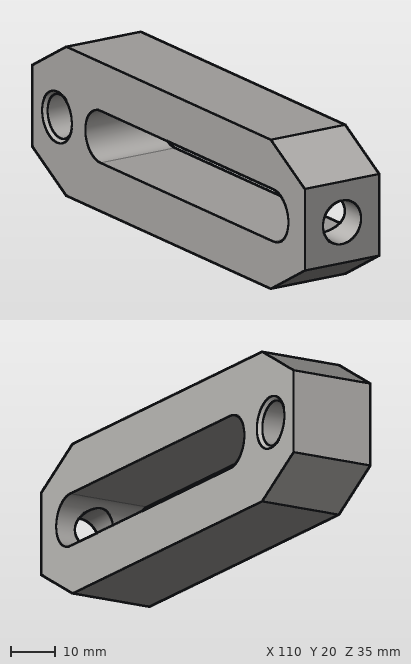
import cadquery as cq
import math

length = 110.0
thickness = 20.0
height = 35.0

corner_drop = 7.9
corner_angle = 30.0
corner_run = corner_drop / math.tan(math.radians(corner_angle))

hole_from_end = 10.0
hole_diameter = 10.2
countersink_diameter = 12.0
countersink_depth = (countersink_diameter - hole_diameter) / 2

slot_width = 12.2
slot_length = 82.0
slot_from_end = 6.6

end_hole_diameter = hole_diameter

hole_x = -length / 2 + hole_from_end
slot_x = length / 2 - slot_from_end - slot_length / 2


def make_body():
    """Flat bar with four sloped corners, centred on the origin."""
    half_length = length / 2
    half_height = height / 2
    flat_x = half_length - corner_run
    end_z = half_height - corner_drop
    outline = [
        (-flat_x, -half_height),
        (flat_x, -half_height),
        (half_length, -end_z),
        (half_length, end_z),
        (flat_x, half_height),
        (-flat_x, half_height),
        (-half_length, end_z),
        (-half_length, -end_z),
    ]
    return cq.Workplane("XZ").polyline(outline).close().extrude(thickness / 2, both=True)


def make_slot():
    """Round-ended slot running through the full thickness."""
    return (
        cq.Workplane("XZ")
        .center(slot_x, 0)
        .slot2D(slot_length, slot_width)
        .extrude(thickness / 2, both=True)
    )


def make_hole():
    """Through hole with a conical countersink at each face, as one revolved profile."""
    half_thickness = thickness / 2
    bore_end = half_thickness - countersink_depth
    bore_radius = hole_diameter / 2
    mouth_radius = countersink_diameter / 2
    profile = [
        (0, -half_thickness),
        (mouth_radius, -half_thickness),
        (bore_radius, -bore_end),
        (bore_radius, bore_end),
        (mouth_radius, half_thickness),
        (0, half_thickness),
    ]
    return (
        cq.Workplane("XY")
        .polyline(profile)
        .close()
        .revolve(360, (0, 0), (0, 1))
        .translate((hole_x, 0, 0))
    )


def make_end_hole():
    """Hole along X from the middle of the slot out through the +X end."""
    return (
        cq.Workplane("YZ", origin=(slot_x, 0, 0))
        .circle(end_hole_diameter / 2)
        .extrude(length / 2 - slot_x)
    )


result = make_body().cut(make_slot()).cut(make_hole()).cut(make_end_hole())